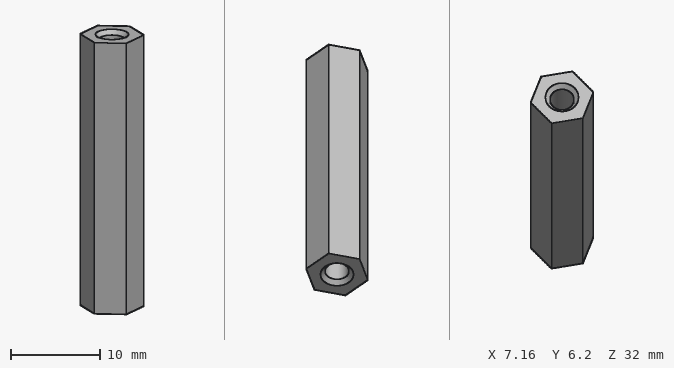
import cadquery as cq
import math

length = 32.0
across_flats = 6.2
bore_diameter = 2.7
countersink_diameter = 3.7
countersink_angle = 90.0

across_corners = across_flats / math.cos(math.radians(30))

bar = cq.Workplane("XY").polygon(6, across_corners).extrude(length)

drilled_top = bar.faces(">Z").workplane().cskHole(bore_diameter, countersink_diameter, countersink_angle)

result = drilled_top.faces("<Z").workplane().cskHole(bore_diameter, countersink_diameter, countersink_angle)